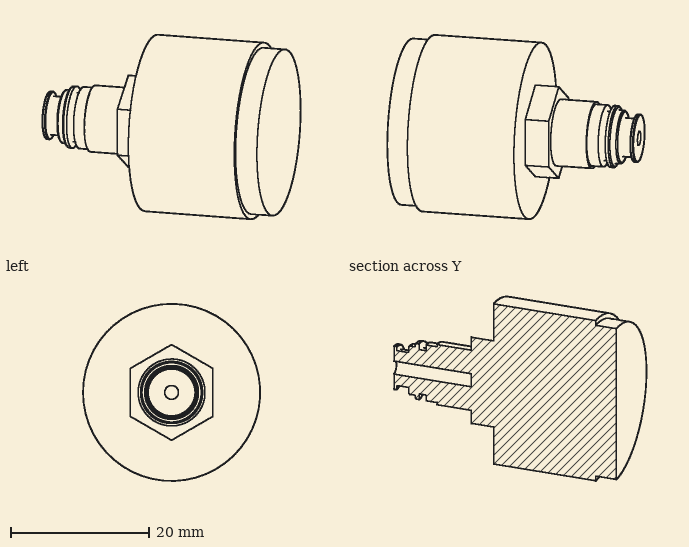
import cadquery as cq
import math

tip_collar_diameter = 7.0
tip_neck_diameter = 5.65
seal_land_diameter = 7.8
retaining_flange_diameter = 9.0
relief_groove_diameter = 7.15
guide_diameter = 9.0
shank_diameter = 9.7
body_diameter = 25.7
cap_diameter = 24.2

tip_collar_end = 0.5
tip_neck_end = 2.3
seal_land_end = 3.3
retaining_flange_end = 3.95
relief_groove_end = 5.0
guide_end = 6.7
shank_end = 12.0
hex_end = 15.5
body_end = 31.4
overall_length = 34.6

hex_across_flats = 12.0

tip_collar_chamfer = 0.1
seal_land_chamfer = 0.2
retaining_flange_chamfer = 0.2

root_fillet = 0.1

selection_margin = 0.01

bore_diameter = 2.0
bore_depth = shank_end


def section(diameter, start, end):
    """Return a cylinder on the X axis between two distances from the tip."""
    return cq.Workplane("YZ", origin=(start, 0, 0)).circle(diameter / 2).extrude(end - start)


def fillet_root(solid, diameter, position):
    """Fillet the circular edge of this diameter at this distance from the tip."""
    def is_root(edge):
        at_position = abs(edge.Center().x - position) < selection_margin
        is_circle = edge.geomType() == "CIRCLE"
        return at_position and is_circle and abs(edge.radius() - diameter / 2) < selection_margin

    return solid.edges().filter(is_root).fillet(root_fillet)


def make_tip_collar():
    collar = section(tip_collar_diameter, 0, tip_collar_end)
    return collar.edges().chamfer(tip_collar_chamfer)


def make_seal_land():
    land = section(seal_land_diameter, tip_neck_end, seal_land_end)
    return land.faces("<X").edges().chamfer(seal_land_chamfer)


def make_retaining_flange():
    flange = section(retaining_flange_diameter, seal_land_end, retaining_flange_end)
    return flange.faces("<X").edges().chamfer(retaining_flange_chamfer)


def make_hex():
    across_corners = hex_across_flats / math.cos(math.radians(30))
    sketch = cq.Workplane("YZ", origin=(shank_end, 0, 0)).transformed(rotate=(0, 0, 90))
    return sketch.polygon(6, across_corners).extrude(hex_end - shank_end)


def make_plug():
    """Return the stepped plug with its inner groove corners filleted."""
    sections = [
        make_tip_collar(),
        section(tip_neck_diameter, tip_collar_end, tip_neck_end),
        make_seal_land(),
        make_retaining_flange(),
        section(relief_groove_diameter, retaining_flange_end, relief_groove_end),
        section(guide_diameter, relief_groove_end, guide_end),
        section(shank_diameter, guide_end, shank_end),
    ]
    plug = sections[0]
    for next_section in sections[1:]:
        plug = plug.union(next_section)

    roots = [
        (tip_neck_diameter, tip_collar_end),
        (tip_neck_diameter, tip_neck_end),
        (seal_land_diameter, seal_land_end),
        (relief_groove_diameter, retaining_flange_end),
        (relief_groove_diameter, relief_groove_end),
    ]
    for diameter, position in roots:
        plug = fillet_root(plug, diameter, position)
    return plug


result = make_plug().union(make_hex())
result = result.union(section(body_diameter, hex_end, body_end))
result = result.union(section(cap_diameter, body_end, overall_length))
result = result.cut(section(bore_diameter, 0, bore_depth))